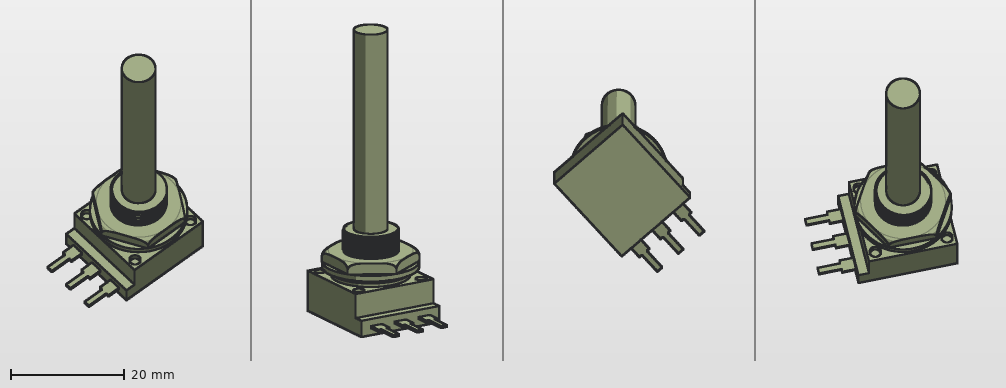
import cadquery as cq
import math

body_width = 16.2
body_depth = 16.0
body_height = 7.45
step_length = 1.9
step_height = 3.0

hole_diameter = 2.0
hole_spacing = 13.0
hole_depth = 1.0

pin_spacing = 5.0
pin_thickness = 0.35
pin_center_height = 1.55
pin_root_width = 2.35
pin_root_length = 2.5
pin_tip_width = 1.15
pin_end_y = -16.5

collar_diameter = 14.0
collar_top = 8.1
neck_diameter = 12.0
neck_top = 9.0
washer_diameter = 17.2
washer_top = 10.0
shaft_diameter = 6.0
shaft_top = 53.0

nut_across_flats = 15.0
nut_top = 12.05
nut_corner_diameter = nut_across_flats / math.cos(math.pi / 6)
nut_rounding = (nut_corner_diameter - nut_across_flats) / 2

thread_diameter = 10.0
thread_depth = 0.3
thread_pitch = 0.75
thread_top = 16.05
thread_core_radius = thread_diameter / 2 - thread_depth
ridge_base = 0.7
ridge_crest = thread_pitch / 8
ridge_embed = 0.05
ridge_root_radius = thread_core_radius - ridge_embed
ridge_turns = 7
ridge_start_angle = 180
ridge_drop = 0.5
ridge_end = thread_top - ridge_drop + thread_pitch
ridge_start = ridge_end - ridge_turns * thread_pitch


def disc(diameter, bottom, top):
    """Upright cylinder on the main axis."""
    return cq.Workplane("XY").workplane(offset=bottom).circle(diameter / 2).extrude(top - bottom)


def make_housing():
    back = body_depth / 2
    front = -body_depth / 2
    profile = [
        (back, 0),
        (back, body_height),
        (front, body_height),
        (front, step_height),
        (front - step_length, step_height),
        (front - step_length, 0),
    ]
    block = cq.Workplane("YZ").polyline(profile).close().extrude(body_width / 2, both=True)
    holes = (
        cq.Workplane("XY")
        .workplane(offset=body_height - hole_depth)
        .rect(hole_spacing, hole_spacing, forConstruction=True)
        .vertices()
        .circle(hole_diameter / 2)
        .extrude(hole_depth)
    )
    return block.cut(holes)


def make_pin(x):
    root_y = -body_depth / 2 - step_length
    root_end_y = root_y - pin_root_length
    half_root = pin_root_width / 2
    half_tip = pin_tip_width / 2
    outline = [
        (x - half_root, root_y),
        (x - half_root, root_end_y),
        (x - half_tip, root_end_y),
        (x - half_tip, pin_end_y),
        (x + half_tip, pin_end_y),
        (x + half_tip, root_end_y),
        (x + half_root, root_end_y),
        (x + half_root, root_y),
    ]
    bottom = pin_center_height - pin_thickness / 2
    return cq.Workplane("XY").workplane(offset=bottom).polyline(outline).close().extrude(pin_thickness)


def make_nut():
    height = nut_top - washer_top
    hexagon = (
        cq.Workplane("XY")
        .workplane(offset=washer_top)
        .transformed(rotate=(0, 0, 90))
        .polygon(6, nut_corner_diameter)
        .extrude(height)
    )
    envelope = disc(nut_corner_diameter, washer_top, nut_top).faces(">Z").edges().fillet(nut_rounding)
    return hexagon.intersect(envelope)


def make_thread():
    path = cq.Wire.makeHelix(thread_pitch, ridge_turns * thread_pitch, ridge_root_radius)
    ridge = (
        cq.Workplane("XZ")
        .moveTo(ridge_root_radius, -ridge_base / 2)
        .lineTo(thread_diameter / 2, -ridge_crest / 2)
        .lineTo(thread_diameter / 2, ridge_crest / 2)
        .lineTo(ridge_root_radius, ridge_base / 2)
        .close()
        .sweep(cq.Workplane(path), isFrenet=True)
        .rotate((0, 0, 0), (0, 0, 1), ridge_start_angle)
        .translate((0, 0, ridge_start))
    )
    core = disc(2 * thread_core_radius, washer_top, thread_top + thread_pitch)
    return core.union(ridge).cut(disc(washer_diameter, thread_top, shaft_top))


result = make_housing()
for pin_index in (-1, 0, 1):
    result = result.union(make_pin(pin_index * pin_spacing))
result = result.union(disc(collar_diameter, body_height, collar_top))
result = result.union(disc(neck_diameter, collar_top, neck_top))
result = result.union(disc(washer_diameter, neck_top, washer_top))
result = result.union(make_thread())
result = result.union(make_nut())
result = result.union(disc(shaft_diameter, thread_top, shaft_top))